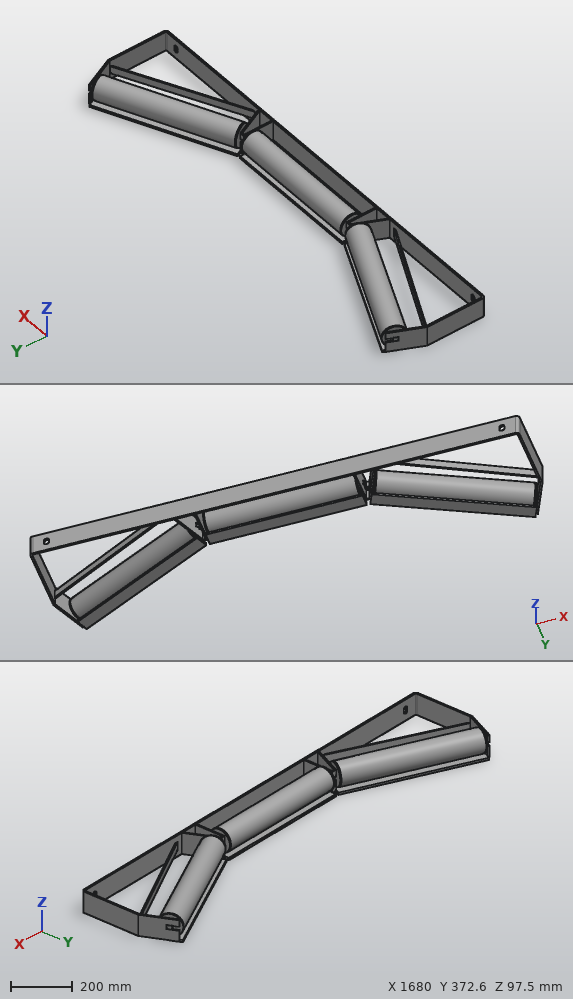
import cadquery as cq
import math

frame_length = 1680.0
frame_height = 80.0
frame_thickness = 7.0
corner_outer_radius = 11.0
corner_inner_radius = corner_outer_radius - frame_thickness
side_depth = 241.0
lug_length = 138.0
axis_along_lug = 104.425
tilt = 25.0

mount_slot_width = 18.0
mount_slot_height = 26.0
mount_slot_x = 782.0

roller_radius = 44.5
roller_length = 528.0
cap_length = 5.0
cap_radius = roller_radius - 1.0
end_gap = 6.0
axis_height = 48.0
axis_depth = 100.0
shaft_diameter = 20.0
shaft_flat_height = 15.0
slot_length = 100.0
slot_reach = 12.0

guard_bottom = -5.0
guard_top = 4.0
guard_width = 44.0

bracket_thickness = 6.0
bracket_depth = 127.0

brace_height = 30.0
brace_thickness = 6.0
brace_end_depth = 238.0
brace_foot_x = 365.0

half_length = frame_length / 2
lean_sin = math.sin(math.radians(tilt))
lean_cos = math.cos(math.radians(tilt))
support_offset = roller_length / 2 + end_gap

axis_to_lug = support_offset + frame_thickness
side_roller_x = half_length - axis_along_lug * lean_sin - axis_to_lug * lean_cos
side_roller_y = side_depth + axis_along_lug * lean_cos - axis_to_lug * lean_sin


def place(body, side):
    """Move a body built about a roller axis to the left (-1), centre (0) or right (1) roller."""
    depth = side_roller_y if side else axis_depth
    return body.rotate((0, 0, 0), (0, 0, 1), side * tilt).translate((side * side_roller_x, depth, 0))


def mirrored(body, side):
    """Keep a left-hand body for side -1, or mirror it for side 1."""
    return body if side < 0 else body.mirror("YZ")


def rod(radius, length):
    return cq.Workplane("YZ").circle(radius).extrude(length / 2, both=True)


def make_roller(side):
    shell = rod(roller_radius, roller_length - 2 * cap_length)
    caps = rod(cap_radius, roller_length)
    shaft_length = 2 * (support_offset + bracket_thickness)
    shaft = rod(shaft_diameter / 2, shaft_length)
    flats = cq.Workplane("XY").box(shaft_length, shaft_diameter, shaft_flat_height)
    shaft = shaft.intersect(flats)
    body = shell.union(caps).union(shaft).translate((0, 0, axis_height))
    guard = (
        cq.Workplane("XY")
        .box(2 * support_offset, guard_width, guard_top - guard_bottom, centered=(True, False, False))
        .translate((0, 0, guard_bottom))
    )
    return place(body.union(guard), side)


def shaft_slot(side, end):
    """Slot for a shaft end, open toward the back, at the -X (-1) or +X (1) end of a roller."""
    slot = (
        cq.Workplane("XY")
        .box(slot_reach, slot_length, shaft_flat_height, centered=(True, False, True))
        .translate((end * (support_offset + slot_reach / 2), -shaft_diameter / 2, axis_height))
    )
    return place(slot, side)


def corners_at(y):
    """Selector for the upright corner edges of the frame at one depth."""
    margin = 1.0
    return cq.selectors.BoxSelector(
        (-frame_length, y - margin, -margin), (frame_length, y + margin, frame_height + margin)
    )


def make_frame():
    inner_x = half_length - frame_thickness
    inner_bend_y = side_depth - frame_thickness * math.tan(math.radians(tilt / 2))
    tip_x = half_length - lug_length * lean_sin
    tip_y = side_depth + lug_length * lean_cos
    inner_tip_x = tip_x - frame_thickness * lean_cos
    inner_tip_y = tip_y - frame_thickness * lean_sin
    right_side = [
        (half_length, 0),
        (half_length, side_depth),
        (tip_x, tip_y),
        (inner_tip_x, inner_tip_y),
        (inner_x, inner_bend_y),
        (inner_x, frame_thickness),
    ]
    left_side = [(-x, y) for x, y in reversed(right_side)]
    frame = cq.Workplane("XY").polyline(right_side + left_side).close().extrude(frame_height)
    frame = frame.edges("|Z").edges(corners_at(0)).fillet(corner_outer_radius)
    frame = frame.edges("|Z").edges(corners_at(frame_thickness)).fillet(corner_inner_radius)
    mount_slots = (
        cq.Workplane("XZ")
        .pushPoints([(-mount_slot_x, frame_height / 2), (mount_slot_x, frame_height / 2)])
        .slot2D(mount_slot_height, mount_slot_width, 90)
        .extrude(-frame_thickness)
    )
    return frame.cut(mount_slots).cut(shaft_slot(-1, -1)).cut(shaft_slot(1, 1))


def make_bracket(side):
    def leaning_x(y, offset):
        """X of the line square to the left roller's axis, offset along it from the roller's middle."""
        return -side_roller_x + (offset + (y - side_roller_y) * lean_sin) / lean_cos

    near = support_offset
    far = support_offset + bracket_thickness
    foot = frame_thickness
    inner_y = bracket_depth - bracket_thickness
    outline = [
        (leaning_x(foot, near), foot),
        (leaning_x(bracket_depth, near), bracket_depth),
        (-near, bracket_depth),
        (-near, foot),
        (-far, foot),
        (-far, inner_y),
        (leaning_x(inner_y, far), inner_y),
        (leaning_x(foot, far), foot),
    ]
    bracket = cq.Workplane("XY").polyline(outline).close().extrude(frame_height)
    bracket = bracket.cut(shaft_slot(-1, 1)).cut(shaft_slot(0, -1))
    return mirrored(bracket, side)


def make_brace(side):
    end_x = half_length - frame_thickness
    slope = math.atan2(brace_end_depth - frame_thickness, end_x - brace_foot_x)
    outline = [
        (-end_x, brace_end_depth),
        (-brace_foot_x, frame_thickness),
        (-brace_foot_x - brace_thickness / math.sin(slope), frame_thickness),
        (-end_x, brace_end_depth - brace_thickness / math.cos(slope)),
    ]
    brace = cq.Workplane("XY").polyline(outline).close().extrude(brace_height)
    return mirrored(brace.translate((0, 0, (frame_height - brace_height) / 2)), side)


frame = make_frame()
rollers = [make_roller(side) for side in (-1, 0, 1)]
brackets = [make_bracket(side) for side in (-1, 1)]
braces = [make_brace(side) for side in (-1, 1)]
bodies = [frame] + rollers + brackets + braces
result = cq.Compound.makeCompound([body.val() for body in bodies])